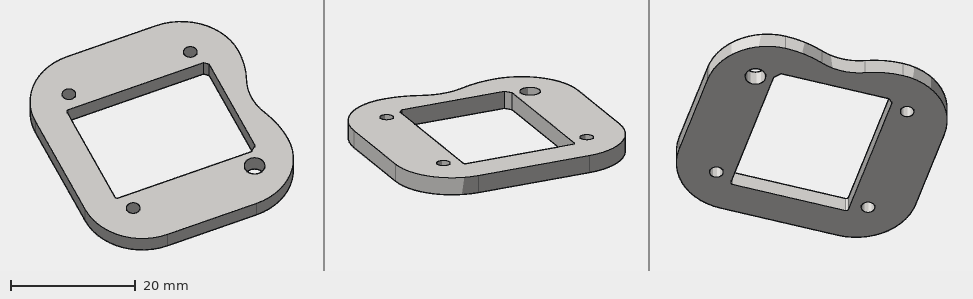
import cadquery as cq
import math

length = 39.77
width = 35.65
thickness = 3.0
corner_radius = 10.02

dip_x = -0.15
dip_depth = 1.95
dip_radius = 9.5

window_length = length - 2 * corner_radius
window_width = 24.8
left_chamfer = 0.68
right_chamfer_x = 0.87
right_chamfer_y = 1.07
window_fillet = 0.4

hole_x = 12.73
hole_y = 10.65
small_hole_diameter = 2.2
large_hole_diameter = 3.3

half_length = length / 2
half_width = width / 2
straight_x = half_length - corner_radius
straight_y = half_width - corner_radius
corner_diagonal = corner_radius * math.sqrt(0.5)


def corner_middle(side_x, side_y):
    """Midpoint of the outer corner arc in the given quadrant."""
    return (
        side_x * (straight_x + corner_diagonal),
        side_y * (straight_y + corner_diagonal),
    )


def dip_inflection(side):
    """Point where the dip arc meets the crest arc on one side, tangent to it."""
    run = straight_x - side * dip_x
    slope_angle = 2 * math.atan(dip_depth / run)
    return (
        dip_x + side * dip_radius * math.sin(slope_angle),
        half_width - dip_depth + dip_radius * (1 - math.cos(slope_angle)),
    )


def make_plate():
    """Rounded plate whose +Y edge is four smoothly joined arcs."""
    return (
        cq.Workplane("XY")
        .moveTo(-straight_x, -half_width)
        .lineTo(straight_x, -half_width)
        .threePointArc(corner_middle(1, -1), (half_length, -straight_y))
        .lineTo(half_length, straight_y)
        .threePointArc(corner_middle(1, 1), (straight_x, half_width))
        .tangentArcPoint(dip_inflection(1), relative=False)
        .threePointArc((dip_x, half_width - dip_depth), dip_inflection(-1))
        .tangentArcPoint((-straight_x, half_width), relative=False)
        .threePointArc(corner_middle(-1, 1), (-half_length, straight_y))
        .lineTo(-half_length, -straight_y)
        .threePointArc(corner_middle(-1, -1), (-straight_x, -half_width))
        .close()
        .extrude(thickness)
    )


def make_window():
    """Window cutter with chamfered +Y corners and rounded -Y corners."""
    x = window_length / 2
    y = window_width / 2
    outline = [
        (-x, -y),
        (x, -y),
        (x, y - right_chamfer_y),
        (x - right_chamfer_x, y),
        (-x + left_chamfer, y),
        (-x, y - left_chamfer),
    ]
    cutter = cq.Workplane("XY").polyline(outline).close().extrude(thickness)
    lower_corners = cq.selectors.BoxSelector(
        (-length, -y - window_fillet, -thickness),
        (length, -y + window_fillet, 2 * thickness),
    )
    return cutter.edges("|Z").edges(lower_corners).fillet(window_fillet)


def make_holes(centres, diameter):
    """Through-hole cutters at the given centres."""
    return cq.Workplane("XY").pushPoints(centres).circle(diameter / 2).extrude(thickness)


small_hole_centres = [(-hole_x, -hole_y), (hole_x, -hole_y), (-hole_x, hole_y)]
large_hole_centres = [(hole_x, hole_y)]

result = (
    make_plate()
    .cut(make_window())
    .cut(make_holes(small_hole_centres, small_hole_diameter))
    .cut(make_holes(large_hole_centres, large_hole_diameter))
)